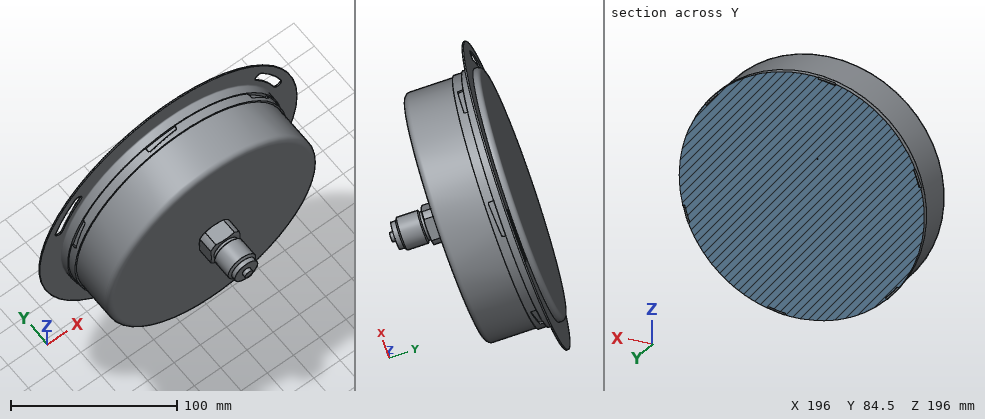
import cadquery as cq
import math


bezel_diameter = 161.3
ring_diameter = 163.0
band_diameter = bezel_diameter
body_diameter = 159.0
ring_end = 11.4
band_end = 17.5
body_end = 49.5
front_rounding = 3.0
back_rounding = 3.7

flange_diameter = 196.0
flange_front = 4.3
flange_thickness = 1.0
flange_back = flange_front + flange_thickness
flange_bend = 0.8

slot_count = 3
slot_path_radius = 89.0
slot_width = 5.9
slot_half_angle = 9.2
first_slot_angle = 30.0

recess_count = 6
recess_span = 16.0
recess_shallow_depth = 2.4
recess_deep_depth = 3.7
recess_corner_radius = 1.0

square_width = 22.0
square_corner_diameter = 26.0
square_end = 61.5
square_chamfer_depth = 0.5
square_chamfer_width = 2.2

neck_diameter = 18.0
neck_end = 63.3
thread_diameter = 21.0
thread_start_cone = 0.8
thread_start = neck_end + thread_start_cone
thread_end = 77.5
collar_diameter = 17.5
thread_end_cone = 1.2
collar_start = thread_end + thread_end_cone
collar_end = 81.7
pin_diameter = 6.0
total_depth = 84.5


def disc(diameter, start_depth, end_depth):
    """Cylinder on the gauge axis between two depths."""
    plane = cq.Workplane("XZ", origin=(0, -start_depth, 0))
    return plane.circle(diameter / 2).extrude(end_depth - start_depth)


def make_case():
    bezel = disc(bezel_diameter, 0, ring_end).faces(">Y").edges().fillet(front_rounding)
    ring = disc(ring_diameter, flange_back, ring_end)
    band = disc(band_diameter, ring_end, band_end)
    body = disc(body_diameter, band_end, body_end).faces("<Y").edges().fillet(back_rounding)
    return bezel.union(ring).union(band).union(body)


def make_flange():
    """Thin disc with a small hollow bend where it meets the case ring."""
    ring_radius = ring_diameter / 2
    bend = (
        cq.Workplane("XY")
        .moveTo(0, -flange_front)
        .lineTo(ring_radius + flange_bend, -flange_front)
        .lineTo(ring_radius + flange_bend, -flange_back)
        .radiusArc((ring_radius, -flange_back - flange_bend), -flange_bend)
        .lineTo(0, -flange_back - flange_bend)
        .close()
        .revolve(360, (0, 0, 0), (0, 1, 0))
    )
    return disc(flange_diameter, flange_front, flange_back).union(bend)


def polar(radius, angle):
    """Point in the XZ plane at an angle in degrees from +X towards +Z."""
    return radius * math.cos(math.radians(angle)), radius * math.sin(math.radians(angle))


def make_slot(middle_angle):
    """Cutter for a curved slot with round ends that follows the flange rim."""
    start = middle_angle - slot_half_angle
    end = middle_angle + slot_half_angle
    inner = slot_path_radius - slot_width / 2
    outer = slot_path_radius + slot_width / 2
    outline = (
        cq.Workplane("XZ", origin=(0, -flange_front, 0))
        .moveTo(*polar(outer, start))
        .threePointArc(polar(outer, middle_angle), polar(outer, end))
        .tangentArcPoint(polar(inner, end), relative=False)
        .threePointArc(polar(inner, middle_angle), polar(inner, start))
        .tangentArcPoint(polar(outer, start), relative=False)
        .close()
    )
    return outline.extrude(flange_thickness)


def make_recesses():
    """Cutters for the ramped recesses behind the ring, sunk to the body surface."""
    half_length = band_diameter / 2 * math.sin(math.radians(recess_span / 2))
    ramp = (
        cq.Workplane("XY")
        .polyline([
            (-half_length, -ring_end),
            (half_length, -ring_end),
            (half_length, -ring_end - recess_shallow_depth),
            (-half_length, -ring_end - recess_deep_depth),
        ])
        .close()
        .extrude(ring_diameter / 2)
        .edges("|Z and (not >>Y)")
        .fillet(recess_corner_radius)
    )
    ramps = cq.Workplane("XY")
    for index in range(recess_count):
        angle = -recess_span / 2 + index * 360 / recess_count
        ramps = ramps.add(ramp.rotate((0, 0, 0), (0, 1, 0), angle))
    return ramps.combine().cut(disc(body_diameter, ring_end, band_end))


def make_square():
    """Wrench square with turned corners, chamfered on a lathe at both ends."""
    turned_blank = (
        disc(square_corner_diameter, body_end, square_end)
        .edges()
        .chamfer(square_chamfer_depth, square_chamfer_width)
    )
    return (
        cq.Workplane("XZ", origin=(0, -body_end, 0))
        .rect(square_width, square_width)
        .extrude(square_end - body_end)
        .intersect(turned_blank)
    )


def make_stem():
    """Turned stem: neck, thread with a cone at each end, collar and pin."""
    profile = [
        (0, -square_end),
        (neck_diameter / 2, -square_end),
        (neck_diameter / 2, -neck_end),
        (thread_diameter / 2, -thread_start),
        (thread_diameter / 2, -thread_end),
        (collar_diameter / 2, -collar_start),
        (collar_diameter / 2, -collar_end),
        (pin_diameter / 2, -collar_end),
        (pin_diameter / 2, -total_depth),
        (0, -total_depth),
    ]
    return cq.Workplane("XY").polyline(profile).close().revolve(360, (0, 0, 0), (0, 1, 0))


flange = make_flange()
for slot_index in range(slot_count):
    flange = flange.cut(make_slot(first_slot_angle + slot_index * 360 / slot_count))

result = make_case().cut(make_recesses()).union(flange).union(make_square()).union(make_stem())